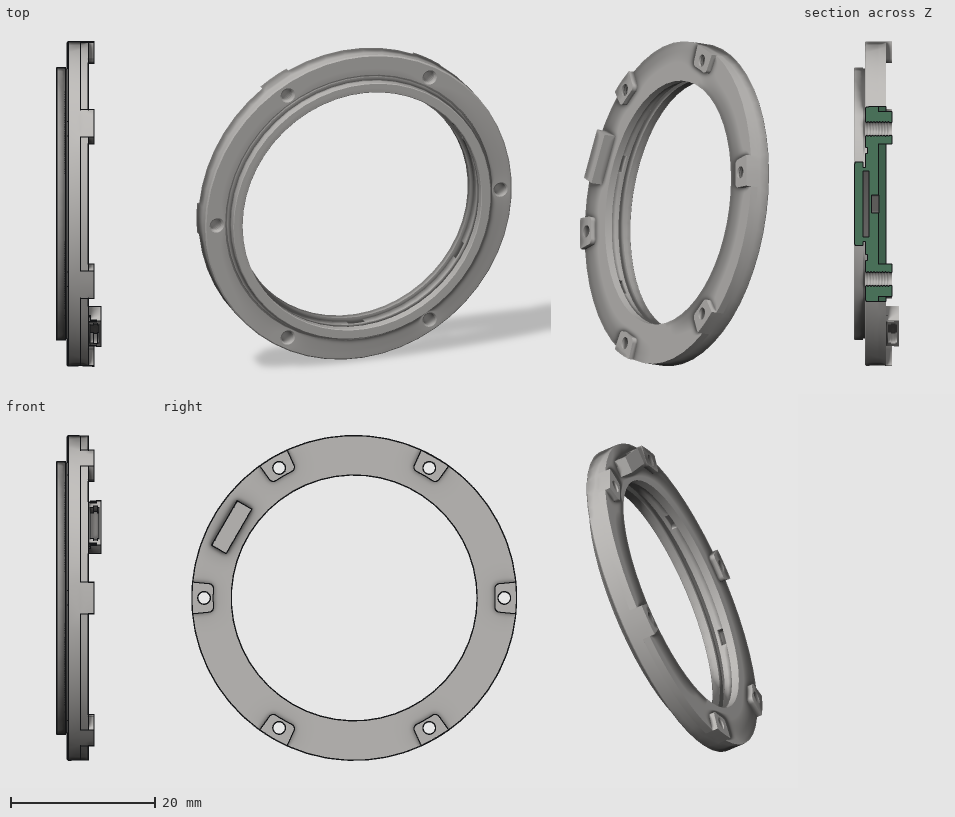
import cadquery as cq
import math

ring_axis = ((0, 0, 0), (1, 0, 0))

flange_face = 1.5
board_face = 3.37
board_back = 4.45
tab_end = 5.2
connector_end = 6.2

outer_radius = 22.5
spigot_radius = 18.9
neck_radius = 18.69
bore_radius = 17.5
seal_groove_radius = 18.55
face_groove_inner_radius = 19.3
face_groove_outer_radius = 19.59

flange_chamfer = 0.2
edge_chamfer = 0.1
neck_length = 0.22
seal_groove_start = 1.2
seal_groove_end = 2.0
face_groove_depth = 0.3

tab_count = 6
tab_pitch = 360 / tab_count
tab_half_angle = 5.6
tab_inner_radius = 19.5
tab_outer_reach = outer_radius + 0.45
tab_corner_radius = 0.67
hole_circle_radius = 20.8
hole_diameter = 1.7
hole_chamfer = 0.202
thread_diameter = 2.0
thread_pitch = 0.4
thread_crest = 0.05
threaded_hole_count = 3
pocket_width = 2.45
pocket_depth = 1.0
pocket_radius = 18.25
pocket_corner_radius = 0.25

board_bore_radius = 17.0

connector_angle = 150
connector_centre_radius = 19.59
connector_length = 7.1
connector_width = 2.35
connector_height = connector_end - board_back
socket_length = 5.0
socket_height = 1.25
socket_depth = 1.6
socket_floor = 0.22
key_length = 5.5
key_height = 0.6
key_floor = 0.67

notch_length = 0.3
lug_length = 0.15
lug_foot_width = 0.85
lug_foot_height = 0.25
lug_leg_width = 0.15
lug_leg_height = 1.1


def plane_at(x):
    """Workplane facing +X, with its own axes along Y and Z."""
    return cq.Workplane("YZ", origin=(x, 0, 0))


def polar(radius, angle):
    """Point at a radius and an angle in degrees."""
    return radius * math.cos(math.radians(angle)), radius * math.sin(math.radians(angle))


def tab_blocks(start, end):
    """Sectors from the tab's inner end out past the rim, one per tab, with rounded inner corners."""
    block = (
        plane_at(start)
        .moveTo(*polar(tab_inner_radius, -tab_half_angle))
        .lineTo(*polar(tab_outer_reach, -tab_half_angle))
        .threePointArc((tab_outer_reach, 0), polar(tab_outer_reach, tab_half_angle))
        .lineTo(*polar(tab_inner_radius, tab_half_angle))
        .threePointArc((tab_inner_radius, 0), polar(tab_inner_radius, -tab_half_angle))
        .close()
        .extrude(end - start)
        .edges("|X and <Y")
        .fillet(tab_corner_radius)
    )
    blocks = block
    for i in range(1, tab_count):
        blocks = blocks.union(block.rotate(*ring_axis, i * tab_pitch))
    return blocks


def revolved(outline):
    """Solid of revolution about X from (axial position, radius) points."""
    return cq.Workplane("XY").polyline(outline).close().revolve(360, *ring_axis)


def plain_hole():
    """Cutter on the X axis for a hole through flange and tab, chamfered at the flange face."""
    radius = hole_diameter / 2
    outline = [
        (flange_face, 0),
        (flange_face, radius + hole_chamfer),
        (flange_face + hole_chamfer, radius),
        (tab_end, radius),
        (tab_end, 0),
    ]
    return revolved(outline)


def threaded_hole():
    """Plain hole cutter with V-shaped thread grooves behind the chamfer, one ring per turn."""
    crest_radius = hole_diameter / 2
    thread_start = flange_face + hole_chamfer
    turns = int((tab_end - thread_start) / thread_pitch)
    outline = [(thread_start, 0), (thread_start, crest_radius)]
    for turn in range(turns):
        groove_start = thread_start + turn * thread_pitch + thread_crest
        groove_end = thread_start + (turn + 1) * thread_pitch
        outline.append((groove_start, crest_radius))
        outline.append(((groove_start + groove_end) / 2, thread_diameter / 2))
        outline.append((groove_end, crest_radius))
    outline.append((groove_end, 0))
    return plain_hole().union(revolved(outline))


def make_mount_ring():
    """Flanged ring with a spigot in front and six tabs behind."""
    profile = [
        (0, bore_radius + edge_chamfer),
        (0, spigot_radius - edge_chamfer),
        (edge_chamfer, spigot_radius),
        (flange_face - neck_length, spigot_radius),
        (flange_face - neck_length, neck_radius),
        (flange_face, neck_radius),
        (flange_face, face_groove_inner_radius),
        (flange_face + face_groove_depth, face_groove_inner_radius),
        (flange_face + face_groove_depth, face_groove_outer_radius),
        (flange_face, face_groove_outer_radius),
        (flange_face, outer_radius - flange_chamfer),
        (flange_face + flange_chamfer, outer_radius),
        (board_face, outer_radius),
        (board_face, bore_radius),
        (seal_groove_end, bore_radius),
        (seal_groove_end, seal_groove_radius),
        (seal_groove_start, seal_groove_radius),
        (seal_groove_start, bore_radius),
        (edge_chamfer, bore_radius),
    ]
    body = revolved(profile)

    rim = plane_at(board_face).circle(outer_radius).extrude(tab_end - board_face)
    body = body.union(tab_blocks(board_face, tab_end).intersect(rim))

    for i in range(tab_count):
        cutter = threaded_hole() if i < threaded_hole_count else plain_hole()
        body = body.cut(cutter.translate((0, hole_circle_radius, 0)).rotate(*ring_axis, i * tab_pitch))

    pocket = plane_at(board_face - pocket_depth).center(pocket_radius / 2, 0)
    pocket = pocket.rect(pocket_radius, pocket_width).extrude(pocket_depth)
    pocket = pocket.edges("|X and >Y").fillet(pocket_corner_radius)
    for i in range(tab_count):
        body = body.cut(pocket.rotate(*ring_axis, (i + 0.5) * tab_pitch))
    return body


def make_board():
    """Flat ring behind the flange, notched round the tabs."""
    board = plane_at(board_face).circle(outer_radius).circle(board_bore_radius)
    board = board.extrude(board_back - board_face)
    return board.cut(tab_blocks(board_face, board_back))


def place_on_board(shape):
    """Move a shape built at the origin, with +Y outward, to the connector's spot on the board."""
    moved = shape.translate((board_back, connector_centre_radius, 0))
    return moved.rotate(*ring_axis, connector_angle)


def lug_profile(end, length):
    """L-shaped piece reaching the given distance from the notch floor at one end (+1 or -1)."""
    outside = connector_width / 2
    outline = [
        (0, outside - lug_foot_width),
        (lug_foot_height, outside - lug_foot_width),
        (lug_foot_height, outside - lug_leg_width),
        (lug_leg_height, outside - lug_leg_width),
        (lug_leg_height, outside),
        (0, outside),
    ]
    floor = end * (connector_length / 2 - notch_length)
    return cq.Workplane("XY", origin=(0, 0, floor)).polyline(outline).close().extrude(end * length)


def make_connector():
    """Connector housing with a keyed socket open outward and a lug notch at each end."""
    centred = (False, True, True)
    housing = cq.Workplane("XY").box(connector_height, connector_width, connector_length, centered=centred)
    socket = cq.Workplane("XY").box(socket_height, 2 * socket_depth, socket_length, centered=centred)
    housing = housing.cut(socket.translate((socket_floor, connector_width / 2, 0)))
    key = cq.Workplane("XY").box(key_height, 2 * socket_depth, key_length, centered=centred)
    housing = housing.cut(key.translate((key_floor, connector_width / 2, 0)))
    for end in (-1, 1):
        housing = housing.cut(lug_profile(end, notch_length))
    return place_on_board(housing)


def make_lug(end):
    """Solder lug lying on the floor of the notch at one end of the connector."""
    return place_on_board(lug_profile(end, lug_length))


mount_ring = make_mount_ring()
board = make_board()
connector = make_connector()
lugs = [make_lug(end) for end in (-1, 1)]

result = cq.Compound.makeCompound(
    [mount_ring.val(), board.val(), connector.val(), *[lug.val() for lug in lugs]]
)